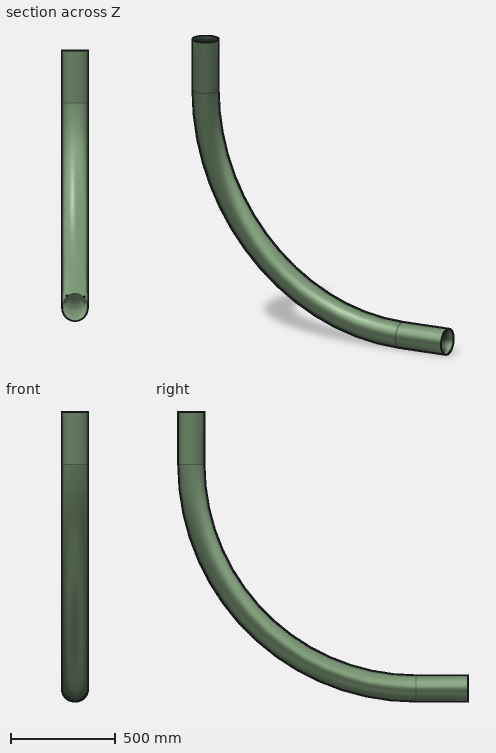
import cadquery as cq

overall_length = 1384.0
outer_diameter = 127.0
inner_diameter = 120.0
straight_length = 250.0

bend_radius = overall_length - outer_diameter / 2 - straight_length


def swept_rod(diameter):
    """Solid rod: a leg along Y, a quarter bend, then a leg rising along Z."""
    start_leg = (
        cq.Workplane("XZ", origin=(0, bend_radius + straight_length, 0))
        .circle(diameter / 2)
        .extrude(straight_length)
    )
    bend = (
        cq.Workplane("XY", origin=(0, 0, bend_radius))
        .circle(diameter / 2)
        .revolve(90, (0, bend_radius, 0), (1, bend_radius, 0))
    )
    end_leg = (
        cq.Workplane("XY", origin=(0, 0, bend_radius))
        .circle(diameter / 2)
        .extrude(straight_length)
    )
    return start_leg.union(bend).union(end_leg)


result = swept_rod(outer_diameter).cut(swept_rod(inner_diameter))